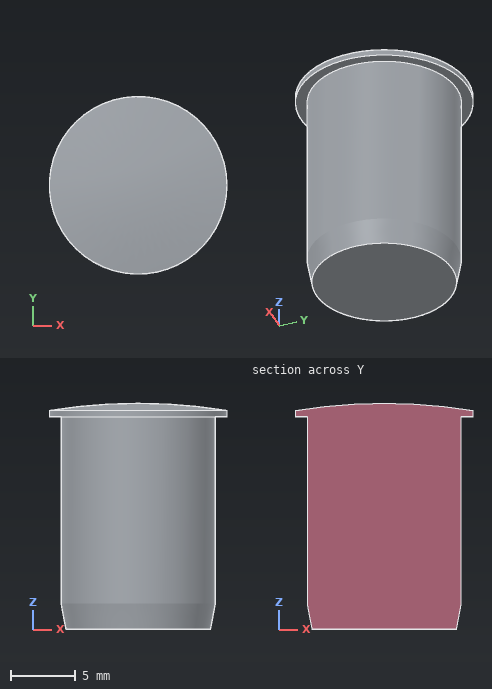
import cadquery as cq

total_height = 17.56
head_diameter = 13.8
shank_diameter = 12.0
tip_diameter = 11.24
taper_height = 2.0
rim_thickness = 0.5
dome_height = 0.56

head_radius = head_diameter / 2
shank_radius = shank_diameter / 2
tip_radius = tip_diameter / 2
rim_top = total_height - dome_height
rim_bottom = rim_top - rim_thickness

dome_radius = (head_radius**2 + dome_height**2) / (2 * dome_height)
dome_center = total_height - dome_radius
arc_mid_x = head_radius / 2
arc_mid_z = dome_center + (dome_radius**2 - arc_mid_x**2) ** 0.5

half_section = (
    cq.Workplane("XZ")
    .moveTo(0, 0)
    .lineTo(tip_radius, 0)
    .lineTo(shank_radius, taper_height)
    .lineTo(shank_radius, rim_bottom)
    .lineTo(head_radius, rim_bottom)
    .lineTo(head_radius, rim_top)
    .threePointArc((arc_mid_x, arc_mid_z), (0, total_height))
    .close()
)

result = half_section.revolve(360, (0, 0, 0), (0, 1, 0))